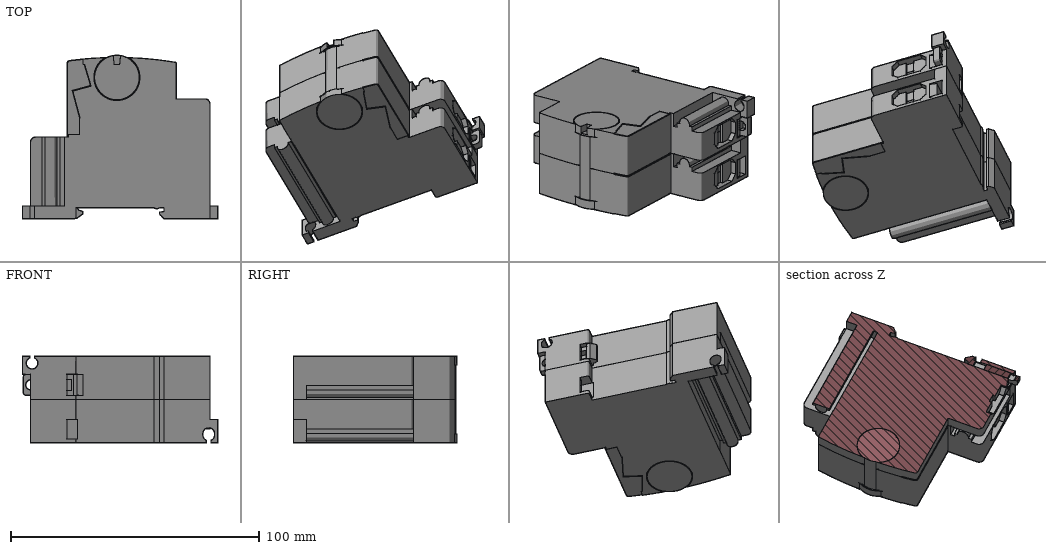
import cadquery as cq
import math


pole_height = 17.5
body_width = 72.4
left_shoulder_y = 33.0
right_shoulder_y = 48.4
shoulder_fillet = 2.1
tower_left = 14.8
tower_right = 58.8
tower_peak_y = 65.1
tower_crown_radius = 144.0
tower_left_fillet = 1.1
tower_right_fillet = 0.6

seat_left = 18.45
seat_floor = 4.4
heel_fillet = 0.85
jaw_right = 53.75
jaw_tip = 52.0
jaw_root_y = 3.0
jaw_top_y = 2.75
jaw_bottom_y = 1.9
bump_start = 49.8
bump_middle = 50.4
bump_end = 51.2
bump_slope_end = 52.2
bump_drop = 0.35
bump_middle_drop = 0.28

foot_reach = 3.2
foot_top = 5.2
upper_foot_height = 7.35
lower_foot_height = 9.5
screw_radius = 2.3
screw_slot_width = 1.8
upper_screw_x = 0.65
upper_screw_depth = 2.85
lower_screw_x = 71.85
lower_screw_depth = 3.15
lower_screw_stretch = 0.65

channel_width = 13.7
shelf_depth = 5.55
rib_x = 8.3
rib_radius = 2.4
rib_center_depth = 3.2
ledge_depth = 3.75
ledge_reach = 1.3

window_y = 16.25
window_length = 14.7
window_z = 6.45
window_height = 9.7
window_corner = 2.4
window_depth = 2.15
slot_y = 16.6
slot_length = 3.2
slot_upper_depth = 0.9
slot_lower_depth = 1.0

panel_recess = 0.1
panel_chamfer = 0.3
panel_groove_width = 0.25
panel_groove_depth = 0.25
panel_bottom = 34.1
panel_notch_width = 0.5
panel_inner_x = 19.75
panel_bend_y = 40.9
panel_valley = (16.85, 51.75)
panel_point = (24.2, 53.75)
panel_step = (21.7, 62.2)
panel_step_width = 0.4
panel_top_x = 20.9

guide_floor = 1.85
guide_ceiling = 4.5
guide_bottom = 1.6
guide_height = 7.9
clip_guide_height = 8.6
mouth_start = 14.7
mouth_end = 19.0
ramp_top = 7.4
ramp_shallow = 0.3
ramp_deep = 0.9
clip_bottom = 19.2
clip_height = 8.4
clip_left = -2.9
clip_fillet = 1.0
clip_eye_x = 0.15
clip_eye_radius = 2.0
clip_eye_end = 1.2
clip_window_start = 12.0
clip_window_end = 16.6
clip_window_height = 4.4
nose_start = 17.4
nose_heel = 18.75
nose_bottom = 0.2
nose_tip = 21.1
nose_tip_low = 1.95
nose_tip_high = 3.0
nose_neck = (19.35, 3.6)

dial_x = 34.85
dial_y = 57.0
dial_radius = 9.0
dial_clearance = 0.3
dial_thickness = 3.6
drum_radius = 8.45
dial_notch_depth = 2.8
dial_notch_bottom_y = 62.2
dial_notch_bottom_width = 2.2
dial_notch_top_width = 3.0

stack_height = 2 * pole_height
cut_margin = 1.0
edge_search_reach = 0.1


def box(x0, x1, y0, y1, z0, z1):
    return cq.Workplane("XY").box(x1 - x0, y1 - y0, z1 - z0, centered=False).translate((x0, y0, z0))


def cylinder_z(x, y, radius, z0, height):
    return cq.Workplane("XY", origin=(x, y, z0)).circle(radius).extrude(height)


def along_y(profile, y0, y1):
    """Extrude an X-Z profile (drawn on the XZ plane) from y0 to y1."""
    return profile.extrude(-(y1 - y0)).translate((0, y0, 0))


def crown_y(x):
    """Height of the arched tower front at x."""
    offset = x - dial_x
    return tower_peak_y - tower_crown_radius + math.sqrt(tower_crown_radius**2 - offset**2)


def pole_profile_body():
    """Side profile of a pole, with the rail seat open at the back."""
    profile = (
        cq.Workplane("XY")
        .lineTo(seat_left, 0)
        .lineTo(seat_left, seat_floor)
        .lineTo(bump_start, seat_floor)
        .threePointArc((bump_middle, seat_floor - bump_middle_drop), (bump_end, seat_floor - bump_drop))
        .lineTo(bump_slope_end, seat_floor)
        .lineTo(jaw_right, seat_floor)
        .lineTo(jaw_right, jaw_root_y)
        .lineTo(jaw_tip, jaw_top_y)
        .lineTo(jaw_tip, jaw_bottom_y)
        .lineTo(jaw_right, 0)
        .lineTo(body_width, 0)
        .lineTo(body_width, right_shoulder_y)
        .lineTo(tower_right, right_shoulder_y)
        .lineTo(tower_right, crown_y(tower_right))
        .threePointArc((dial_x, tower_peak_y), (tower_left, crown_y(tower_left)))
        .lineTo(tower_left, left_shoulder_y)
        .lineTo(0, left_shoulder_y)
        .close()
        .extrude(pole_height)
    )

    def upright_edge(x, y):
        reach = edge_search_reach
        low = (x - reach, y - reach, -cut_margin)
        high = (x + reach, y + reach, pole_height + cut_margin)
        return cq.selectors.BoxSelector(low, high)

    def round_edge(body, x, y, radius):
        return body.edges("|Z").edges(upright_edge(x, y)).fillet(radius)

    profile = round_edge(profile, 0, left_shoulder_y, shoulder_fillet)
    profile = round_edge(profile, body_width, right_shoulder_y, shoulder_fillet)
    profile = round_edge(profile, tower_left, crown_y(tower_left), tower_left_fillet)
    profile = round_edge(profile, tower_right, crown_y(tower_right), tower_right_fillet)
    return round_edge(profile, seat_left, 0, heel_fillet)


def channel_cut(end_y):
    """Material removed above the left-hand wiring channel of a pole, leaving the rib."""
    shelf = pole_height - shelf_depth
    ledge = pole_height - ledge_depth
    rib_center = pole_height - rib_center_depth
    rib_left = rib_x - rib_radius
    rib_right = rib_x + rib_radius
    top = pole_height + cut_margin
    profile = (
        cq.Workplane("XZ")
        .moveTo(-cut_margin, shelf)
        .lineTo(rib_left - ledge_reach, shelf)
        .lineTo(rib_left - ledge_reach, ledge)
        .lineTo(rib_left, ledge)
        .lineTo(rib_left, rib_center)
        .threePointArc((rib_x, rib_center + rib_radius), (rib_right, rib_center))
        .lineTo(rib_right, ledge)
        .lineTo(rib_right + ledge_reach, ledge)
        .lineTo(rib_right + ledge_reach, shelf)
        .lineTo(channel_width, shelf)
        .lineTo(channel_width, top)
        .lineTo(-cut_margin, top)
        .close()
    )
    return along_y(profile, foot_top, end_y)


def right_channel_cut():
    """The same channel turned half round about Y, for the underside of the right-hand side."""
    turned = channel_cut(right_shoulder_y).rotate((0, 0, 0), (0, 1, 0), 180)
    return turned.translate((body_width, 0, pole_height))


def terminal_window_cut():
    """Octagonal terminal window with a stepped slot in its floor."""
    window = (
        box(
            0, window_depth,
            window_y - window_length / 2, window_y + window_length / 2,
            window_z - window_height / 2, window_z + window_height / 2,
        )
        .edges("|X")
        .chamfer(window_corner)
    )
    slot_start = slot_y - slot_length / 2
    slot_end = slot_y + slot_length / 2
    window_low = window_z - window_height / 2
    window_high = window_z + window_height / 2
    lower_slot = box(0, window_depth + slot_lower_depth, slot_start, slot_end, window_low, window_z)
    upper_slot = box(0, window_depth + slot_upper_depth, slot_start, slot_end, window_z, window_high)
    return window.union(lower_slot).union(upper_slot)


def panel_zigzag():
    """Corners of the panel's stepped inner edge, from its lower bend up past the crown."""
    return [
        (panel_inner_x, panel_bend_y),
        panel_valley,
        panel_point,
        panel_step,
        (panel_step[0] - panel_step_width, panel_step[1]),
        (panel_top_x, tower_peak_y + cut_margin),
    ]


def panel_prism(height):
    """Prism over the panel, reaching past the tower's side and crown."""
    outer_x = tower_left - cut_margin
    lower_corners = [(outer_x, panel_bottom), (panel_inner_x, panel_bottom)]
    corners = lower_corners + panel_zigzag() + [(outer_x, tower_peak_y + cut_margin)]
    return cq.Workplane("XY").polyline(corners).close().extrude(height)


def panel_groove_cut():
    """Narrow groove along the outside of the panel's zigzag edge, up to the step near the crown."""
    inner = [(panel_inner_x, panel_bend_y), panel_valley, panel_point, panel_step]
    outer = [(x + panel_groove_width, y - panel_groove_width) for x, y in inner]
    return cq.Workplane("XY").polyline(inner + outer[::-1]).close().extrude(panel_groove_depth)


def panel_notch_cut():
    """Small step in the tower's corner just below the panel."""
    return box(
        tower_left, tower_left + panel_notch_width, left_shoulder_y, panel_bottom, 0, panel_groove_depth
    )


def panel_edge_cut(profile_body):
    """Chamfer waste along the panel's outer edges: the tower's side and its crown."""
    tower_edges = cq.selectors.BoxSelector(
        (tower_left - cut_margin, left_shoulder_y + cut_margin, -cut_margin),
        (tower_right + cut_margin, tower_peak_y + cut_margin, cut_margin),
    )
    chamfered = profile_body.faces("<Z").edges(tower_edges).chamfer(panel_chamfer)
    return panel_prism(pole_height / 2).intersect(profile_body).cut(chamfered)


def outline_panel(body):
    """Outline the panel on the lower and the upper face of a pole."""
    cuts = [panel_prism(panel_recess), panel_groove_cut(), panel_notch_cut(), panel_edge_cut(body)]
    for cut in cuts:
        upper_cut = cut.mirror("XY").translate((0, 0, pole_height))
        body = body.cut(cut).cut(upper_cut)
    return body


def guide_cut(height):
    """Through guide for the rail clip, open to the back at its mouth, with an entry ramp."""
    top = guide_bottom + height
    guide = box(-cut_margin, mouth_end, guide_floor, guide_ceiling, guide_bottom, top)
    mouth = box(mouth_start, mouth_end, -cut_margin, guide_ceiling, guide_bottom, top)
    ramp = (
        cq.Workplane("XY", origin=(0, 0, guide_bottom))
        .moveTo(0, guide_ceiling)
        .lineTo(ramp_deep, guide_ceiling)
        .lineTo(ramp_shallow, ramp_top)
        .lineTo(0, ramp_top)
        .close()
        .extrude(guide_height)
    )
    return guide.union(mouth).union(ramp)


def pole(guide_size):
    """One pole housing at the bottom of the stack, without feet or dial seat."""
    body = outline_panel(pole_profile_body())
    body = body.cut(channel_cut(left_shoulder_y + cut_margin))
    body = body.cut(right_channel_cut())
    body = body.cut(terminal_window_cut())
    return body.cut(guide_cut(guide_size))


def screw_cut(x, z, edge_z, stretch):
    """Keyhole through a foot: a round hole, stretched along Z, with a slot to the foot's edge."""
    profile = cq.Workplane("XZ").center(x, z).circle(screw_radius)
    hole = along_y(profile, -cut_margin, foot_top)
    if stretch:
        far_hole = hole.translate((0, 0, stretch))
        bridge = box(
            x - screw_radius, x + screw_radius, -cut_margin, foot_top, z, z + stretch
        )
        hole = hole.union(far_hole).union(bridge)
    half_slot = screw_slot_width / 2
    slot = box(x - half_slot, x + half_slot, -cut_margin, foot_top, min(z, edge_z), max(z, edge_z))
    return hole.union(slot)


def dial_seat_cut(z0):
    seat_radius = dial_radius + dial_clearance
    return cylinder_z(dial_x, dial_y, seat_radius, z0, dial_thickness)


def drum_bore_cut():
    return cylinder_z(dial_x, dial_y, drum_radius, 0, stack_height)


def make_lower_housing():
    body = pole(guide_height)
    body = body.union(box(body_width, body_width + foot_reach, 0, foot_top, 0, lower_foot_height))
    body = body.cut(screw_cut(lower_screw_x, lower_screw_depth, 0, lower_screw_stretch))
    return body.cut(dial_seat_cut(0)).cut(drum_bore_cut())


def make_upper_housing():
    body = pole(clip_guide_height).translate((0, 0, pole_height))
    foot_bottom = stack_height - upper_foot_height
    body = body.union(box(-foot_reach, 0, 0, foot_top, foot_bottom, stack_height))
    body = body.cut(screw_cut(upper_screw_x, stack_height - upper_screw_depth, stack_height, 0))
    return body.cut(dial_seat_cut(stack_height - dial_thickness)).cut(drum_bore_cut())


def make_rail_clip():
    """Sliding bar with a hooked nose that grips the rail and an eye in its outer end."""
    clip = (
        cq.Workplane("XY", origin=(0, 0, clip_bottom))
        .moveTo(clip_left, guide_floor)
        .lineTo(nose_start, guide_floor)
        .lineTo(nose_start, nose_bottom)
        .lineTo(nose_heel, nose_bottom)
        .lineTo(nose_tip, nose_tip_low)
        .lineTo(nose_tip, nose_tip_high)
        .lineTo(*nose_neck)
        .lineTo(mouth_end, seat_floor)
        .lineTo(mouth_end, guide_ceiling)
        .lineTo(clip_left, guide_ceiling)
        .close()
        .extrude(clip_height)
    )
    clip = clip.edges("|Y and <X").fillet(clip_fillet)
    middle_z = clip_bottom + clip_height / 2
    eye_profile = (
        cq.Workplane("XZ")
        .moveTo(clip_eye_end, middle_z + clip_eye_radius)
        .lineTo(clip_eye_x, middle_z + clip_eye_radius)
        .threePointArc((clip_eye_x - clip_eye_radius, middle_z), (clip_eye_x, middle_z - clip_eye_radius))
        .lineTo(clip_eye_end, middle_z - clip_eye_radius)
        .close()
    )
    eye = along_y(eye_profile, guide_floor, guide_ceiling)
    half_window = clip_window_height / 2
    window = box(
        clip_window_start, clip_window_end, guide_floor, guide_ceiling,
        middle_z - half_window, middle_z + half_window,
    )
    return clip.cut(eye).cut(window)


def make_dial():
    """A disc at each end of a drum; the upper disc has a tapered notch in its rim."""
    upper_z = stack_height - dial_thickness
    dial = cylinder_z(dial_x, dial_y, drum_radius, 0, stack_height)
    for disc_z in (0, upper_z):
        dial = dial.union(cylinder_z(dial_x, dial_y, dial_radius, disc_z, dial_thickness))
    half_bottom = dial_notch_bottom_width / 2
    half_top = dial_notch_top_width / 2
    rim_y = dial_y + dial_radius
    notch = (
        cq.Workplane("XY", origin=(dial_x, 0, stack_height - dial_notch_depth))
        .moveTo(-half_bottom, dial_notch_bottom_y)
        .lineTo(half_bottom, dial_notch_bottom_y)
        .lineTo(half_top, rim_y)
        .lineTo(-half_top, rim_y)
        .close()
        .extrude(dial_notch_depth)
    )
    return dial.cut(notch)


lower_housing = make_lower_housing()
upper_housing = make_upper_housing()
rail_clip = make_rail_clip()
dial = make_dial()

result = cq.Compound.makeCompound(
    [lower_housing.val(), upper_housing.val(), rail_clip.val(), dial.val()]
)